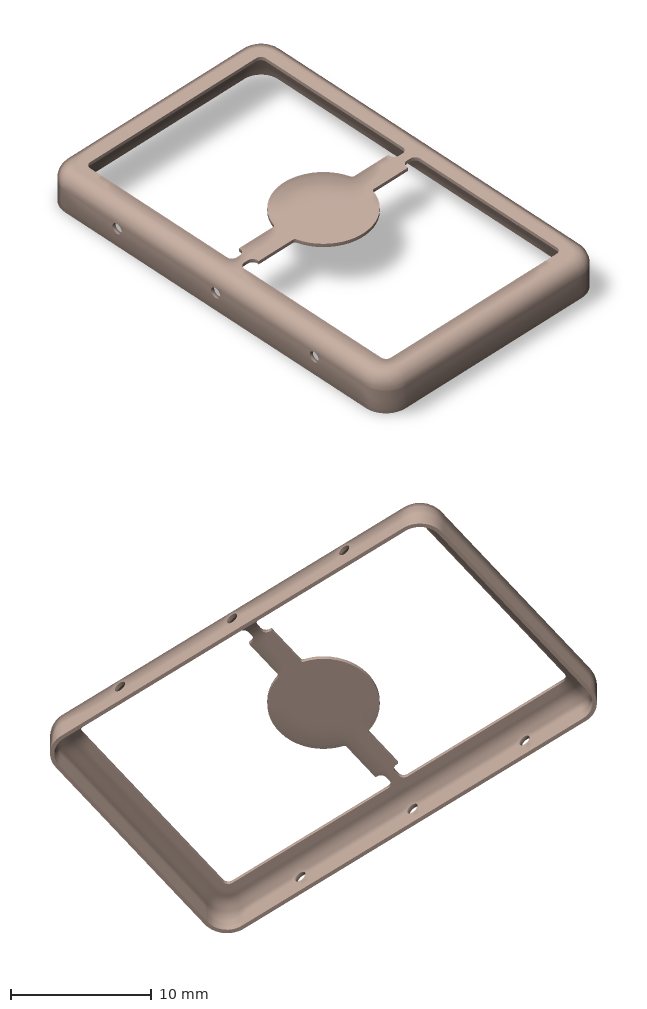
import cadquery as cq

LENGTH = 34.5
WIDTH = 21.5
HEIGHT = 3.2
CORNER_RADIUS = 2.0
TOP_ROUND = 1.1

SHELL_THICKNESS = 0.3
RIM_WIDTH = 2.0
OPENING_CORNER_RADIUS = 0.5

DISK_DIAMETER = 8.0
STRAP_WIDTH = 2.0
NECK_WIDTH = 0.8
NECK_LENGTH = 1.3
DISK_JOINT_RADIUS = 0.2

HOLE_DIAMETER = 0.9
HOLE_SPACING = 10.0
HOLE_HEIGHT = HEIGHT / 2

PLATE_BOTTOM = HEIGHT - SHELL_THICKNESS
OPENING_LENGTH = LENGTH - 2 * RIM_WIDTH
OPENING_WIDTH = WIDTH - 2 * RIM_WIDTH


def rounded_block(inset):
    """Block with rounded corners and top edge, its sides and top set in by the inset."""
    return (
        cq.Workplane("XY")
        .rect(LENGTH - 2 * inset, WIDTH - 2 * inset)
        .extrude(HEIGHT - inset)
        .edges("|Z")
        .fillet(CORNER_RADIUS - inset)
        .faces(">Z")
        .edges()
        .fillet(TOP_ROUND - inset)
    )


def make_shell():
    """Rounded block hollowed from below, its inner rounds concentric with the outer ones."""
    return rounded_block(0).cut(rounded_block(SHELL_THICKNESS))


def plate_layer():
    """Workplane at the underside of the top plate."""
    return cq.Workplane("XY").workplane(offset=PLATE_BOTTOM)


def round_upright_edges(body, points, radius):
    """Fillet the vertical edges that pass through the given XY points."""
    reach = 0.05
    for x, y in points:
        selector = cq.selectors.BoxSelector(
            (x - reach, y - reach, PLATE_BOTTOM - reach),
            (x + reach, y + reach, HEIGHT + reach),
        )
        body = body.edges("|Z").edges(selector).fillet(radius)
    return body


def make_openings():
    """Two windows left over when the disk, straps and necks are taken from the opening."""
    shoulder_y = OPENING_WIDTH / 2 - NECK_LENGTH
    window = plate_layer().rect(OPENING_LENGTH, OPENING_WIDTH).extrude(SHELL_THICKNESS)
    disk = plate_layer().circle(DISK_DIAMETER / 2).extrude(SHELL_THICKNESS)
    straps = plate_layer().rect(STRAP_WIDTH, 2 * shoulder_y).extrude(SHELL_THICKNESS)
    necks = plate_layer().rect(NECK_WIDTH, OPENING_WIDTH).extrude(SHELL_THICKNESS)
    openings = window.cut(disk.union(straps).union(necks))

    joint_x = STRAP_WIDTH / 2
    joint_y = ((DISK_DIAMETER / 2) ** 2 - joint_x**2) ** 0.5
    window_corners = []
    disk_joints = []
    for side_x in (-1, 1):
        for side_y in (-1, 1):
            edge_y = side_y * OPENING_WIDTH / 2
            neck_x = side_x * NECK_WIDTH / 2
            window_corners.append((side_x * OPENING_LENGTH / 2, edge_y))
            window_corners.append((neck_x, edge_y))
            window_corners.append((neck_x, side_y * shoulder_y))
            disk_joints.append((side_x * joint_x, side_y * joint_y))

    openings = round_upright_edges(openings, window_corners, OPENING_CORNER_RADIUS)
    return round_upright_edges(openings, disk_joints, DISK_JOINT_RADIUS)


def make_side_holes():
    """Three round holes running along Y through both long walls."""
    return (
        cq.Workplane("XZ")
        .pushPoints([(step * HOLE_SPACING, HOLE_HEIGHT) for step in (-1, 0, 1)])
        .circle(HOLE_DIAMETER / 2)
        .extrude(WIDTH / 2, both=True)
    )


result = make_shell().cut(make_openings()).cut(make_side_holes())